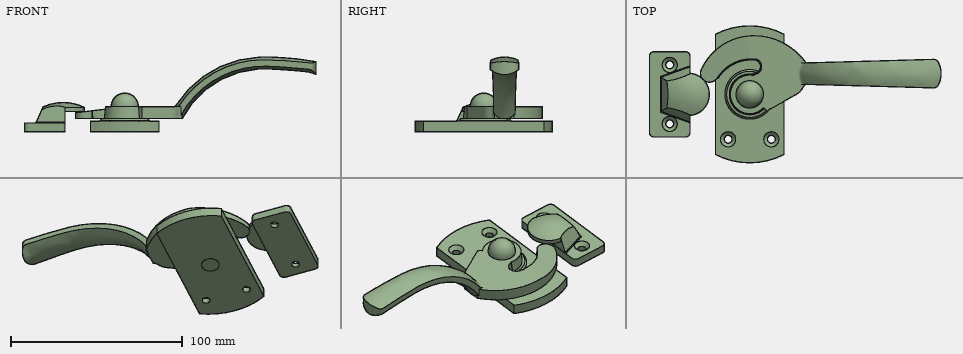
import cadquery as cq
import math


SCREW_HOLE_D = 4.5
SCREW_HEAD_D = 8.8
SCREW_HEAD_ANGLE = 90

BASE_WIDTH = 40.1
BASE_LENGTH = 79.8
BASE_END_RISE = 5.0
BASE_T = 6.3
BASE_SCREWS = [(-12.5, -26.2), (12.5, -26.2)]

WASHER_BOTTOM_R = 14.5
WASHER_T = 1.4
WASHER_CHAMFER = 1.0

SHANK_R = 5.1
RIVET_HEAD_R = 8.0

LEVER_T = 7.0
LEVER_BOTTOM = BASE_T + WASHER_T
LEVER_TOP = LEVER_BOTTOM + LEVER_T
ARC_X = 2.4
CROWN_Y = 34.1
SHOULDER_R = 37.2
HOOK_OUTER_R = 33.6
HOOK_TIP_R = 5.3
HOOK_TIP_X = -23.5
HOOK_MID_ANGLE = 120
HOOK_TIP_MID_ANGLE = 230
SLOT_CENTER_X = 0.8
SLOT_CENTER_Y = -2.7
SLOT_OUTER_R = 23.5
SLOT_END_R = 4.6
SLOT_DRAFT = 6
HUB_TOP_R = 11.2
HUB_BOTTOM_R = 11.9
WALL_FOOT = (10.0, -9.7)
EDGE_END = (26.0, -0.7)
NECK_MID = (29.0, 1.4)
NECK_END = (31.1, 4.0)
ROOT_X = 33.3
ROOT_START_Y = 6.1
RAMP_START_X = 0.7
RAMP_BLEND_R = 12.7
RAMP_ANGLE = 6.9

HANDLE_Y = 12.0
SPINE_TOP_X = 81.0
SPINE_TOP_Z = 40.1
SPINE_R_INNER = 57.0
SPINE_R_OUTER = 149.5
SPINE_START_ANGLE = 68
SPINE_END_ANGLE = 12
INNER_SECTIONS = 6
OUTER_SECTIONS = 2
HANDLE_SIDE_T = 3.7
HANDLE_CROWN = 1.7
HANDLE_WIDTH_AT_TOP = 15.3
HANDLE_WIDENING = 0.057
HANDLE_END_X = 111.5
HANDLE_END_R = 14.3
HANDLE_CORNER_R = 3.4
HANDLE_ROOT_FILLET = 1.7

KEEPER_X = -46.5
KEEPER_WIDTH = 23.8
KEEPER_LENGTH = 49.8
KEEPER_T = 5.3
KEEPER_CORNER_R = 2.7
KEEPER_SCREW_Y = 17.2

BLOCK_FRONT_X = KEEPER_X + KEEPER_WIDTH / 2
BLOCK_BACK_X = -51.5
BLOCK_BACK_HALF_WIDTH = 10.0
BLOCK_SIDE_SLOPE = 0.36
BLOCK_TAPER = 24
FOOT_FLARE = 0.5
FOOT_TAPER = 45
DOME_X = -35.8
DOME_R = 12.4
DOME_TOP = 17.2
DOME_SPHERE_R = 27.5
CATCH_BOTTOM = 11.7


def between(start, end, radius):
    """Point at distance `radius` from start, in the direction of end."""
    scale = radius / math.dist(start, end)
    return (start[0] + (end[0] - start[0]) * scale, start[1] + (end[1] - start[1]) * scale)


def on_circle(center, radius, degrees):
    angle = math.radians(degrees)
    return (center[0] + radius * math.cos(angle), center[1] + radius * math.sin(angle))


def cylinder(radius, bottom, top):
    return cq.Workplane("XY").workplane(offset=bottom).circle(radius).extrude(top - bottom)


def drill_screw_holes(plate, thickness, places):
    return (
        plate.faces(">Z")
        .workplane(origin=(0, 0, thickness))
        .pushPoints(places)
        .cskHole(SCREW_HOLE_D, SCREW_HEAD_D, SCREW_HEAD_ANGLE)
    )


def make_base_plate():
    half_width = BASE_WIDTH / 2
    end = BASE_LENGTH / 2
    corner = end - BASE_END_RISE
    plate = (
        cq.Workplane("XY")
        .moveTo(-half_width, -corner)
        .threePointArc((0, -end), (half_width, -corner))
        .lineTo(half_width, corner)
        .threePointArc((0, end), (-half_width, corner))
        .close()
        .extrude(BASE_T)
    )
    return drill_screw_holes(plate, BASE_T, BASE_SCREWS).cut(cylinder(SHANK_R, 0, BASE_T))


def make_washer():
    disc = cylinder(WASHER_BOTTOM_R, BASE_T, LEVER_BOTTOM)
    return disc.faces(">Z").chamfer(WASHER_CHAMFER).cut(cylinder(SHANK_R, BASE_T, LEVER_BOTTOM))


def make_rivet():
    head = cq.Workplane("XY").sphere(RIVET_HEAD_R).translate((0, 0, LEVER_TOP))
    head = head.intersect(cylinder(RIVET_HEAD_R, LEVER_TOP, LEVER_TOP + RIVET_HEAD_R))
    return cylinder(SHANK_R, 0, LEVER_TOP).union(head)


def make_lever_plate():
    shoulder_center = (ARC_X, CROWN_Y - SHOULDER_R)
    hook_center = (ARC_X, CROWN_Y - HOOK_OUTER_R)
    slot_center = (SLOT_CENTER_X, SLOT_CENTER_Y)
    tip_drop = HOOK_OUTER_R - HOOK_TIP_R
    tip_y = hook_center[1] + math.sqrt(tip_drop**2 - (HOOK_TIP_X - ARC_X) ** 2)
    tip_center = (HOOK_TIP_X, tip_y)
    tip_start = between(hook_center, tip_center, HOOK_OUTER_R)
    tip_end = between(tip_center, slot_center, HOOK_TIP_R)
    shoulder_angle = math.degrees(math.acos((ROOT_X - ARC_X) / SHOULDER_R))
    shoulder = on_circle(shoulder_center, SHOULDER_R, shoulder_angle)

    plate = (
        cq.Workplane("XY")
        .workplane(offset=LEVER_BOTTOM)
        .moveTo(*shoulder)
        .threePointArc(
            on_circle(shoulder_center, SHOULDER_R, (shoulder_angle + 90) / 2), (ARC_X, CROWN_Y)
        )
        .threePointArc(on_circle(hook_center, HOOK_OUTER_R, HOOK_MID_ANGLE), tip_start)
        .threePointArc(on_circle(tip_center, HOOK_TIP_R, HOOK_TIP_MID_ANGLE), tip_end)
        .lineTo(0, 0)
        .lineTo(*WALL_FOOT)
        .lineTo(*EDGE_END)
        .threePointArc(NECK_MID, NECK_END)
        .tangentArcPoint((ROOT_X, ROOT_START_Y), relative=False)
        .close()
        .extrude(LEVER_T)
    )
    return plate.cut(make_slot_cutter(slot_center)).cut(make_ramp_cutter())


def make_slot_cutter(slot_center):
    """Slot between hook and hub, wider at the top because its walls are drafted."""
    slot_top = slot_center[1] + SLOT_OUTER_R
    return (
        cq.Workplane("XY")
        .workplane(offset=LEVER_TOP)
        .moveTo(*on_circle(slot_center, SLOT_OUTER_R, 180))
        .threePointArc(on_circle(slot_center, SLOT_OUTER_R, 135), (slot_center[0], slot_top))
        .lineTo(ARC_X, slot_top)
        .threePointArc(
            (ARC_X + SLOT_END_R, slot_top - SLOT_END_R), (ARC_X, slot_top - 2 * SLOT_END_R)
        )
        .lineTo(ARC_X, slot_center[1])
        .close()
        .extrude(-LEVER_T, taper=SLOT_DRAFT)
    )


def make_ramp_cutter():
    """Wedge above the hook, which thins the hook towards its tip."""
    blend_center = (RAMP_START_X, LEVER_TOP - RAMP_BLEND_R)
    blend_end = on_circle(blend_center, RAMP_BLEND_R, 90 + RAMP_ANGLE)
    far_x = HOOK_TIP_X - 2 * HOOK_TIP_R
    far_z = blend_end[1] - (blend_end[0] - far_x) * math.tan(math.radians(RAMP_ANGLE))
    return (
        cq.Workplane("XZ")
        .moveTo(RAMP_START_X, LEVER_TOP)
        .threePointArc(on_circle(blend_center, RAMP_BLEND_R, 90 + RAMP_ANGLE / 2), blend_end)
        .lineTo(far_x, far_z)
        .lineTo(far_x, LEVER_TOP)
        .close()
        .extrude(-2 * CROWN_Y)
    )


def make_hub():
    return (
        cq.Workplane("XZ")
        .moveTo(0, LEVER_BOTTOM)
        .lineTo(HUB_BOTTOM_R, LEVER_BOTTOM)
        .lineTo(HUB_TOP_R, LEVER_TOP)
        .lineTo(0, LEVER_TOP)
        .close()
        .revolve()
    )


def handle_section(radius, degrees):
    """Cross-section of the handle, `degrees` along a spine arc from its top point."""
    angle = math.radians(degrees)
    x = SPINE_TOP_X + radius * math.sin(angle)
    z = SPINE_TOP_Z - radius * (1 - math.cos(angle))
    half_width = (HANDLE_WIDTH_AT_TOP + HANDLE_WIDENING * (x - SPINE_TOP_X)) / 2
    side = HANDLE_SIDE_T / 2
    crown = side + HANDLE_CROWN
    plane = cq.Plane(
        origin=(x, HANDLE_Y, z), xDir=(0, 1, 0), normal=(math.cos(angle), 0, -math.sin(angle))
    )
    return (
        cq.Workplane(plane)
        .moveTo(-half_width, -side)
        .threePointArc((0, -crown), (half_width, -side))
        .lineTo(half_width, side)
        .threePointArc((0, crown), (-half_width, side))
        .close()
        .wires()
        .val()
    )


def make_handle():
    inner_step = SPINE_START_ANGLE / INNER_SECTIONS
    outer_step = SPINE_END_ANGLE / OUTER_SECTIONS
    sections = [
        handle_section(SPINE_R_INNER, (count - INNER_SECTIONS) * inner_step)
        for count in range(INNER_SECTIONS)
    ]
    sections += [
        handle_section(SPINE_R_OUTER, count * outer_step) for count in range(OUTER_SECTIONS + 1)
    ]
    bar = cq.Workplane(cq.Solid.makeLoft(sections))

    end_center_x = HANDLE_END_X - HANDLE_END_R
    clear_height = SPINE_TOP_Z * 2
    envelope = (
        cq.Workplane("XY")
        .workplane(offset=LEVER_BOTTOM)
        .moveTo(0, HANDLE_Y - HANDLE_END_R)
        .lineTo(end_center_x, HANDLE_Y - HANDLE_END_R)
        .threePointArc((HANDLE_END_X, HANDLE_Y), (end_center_x, HANDLE_Y + HANDLE_END_R))
        .lineTo(0, HANDLE_Y + HANDLE_END_R)
        .close()
        .extrude(clear_height)
    )
    bar = bar.intersect(envelope)
    return bar.edges(end_corner(-1) + end_corner(1)).fillet(HANDLE_CORNER_R)


def end_corner(side):
    """Selector for the upright edge at one corner of the free end; side is -1 or 1 along Y."""
    corner_y = HANDLE_Y + side * HANDLE_WIDTH_AT_TOP / 2
    reach = HANDLE_CORNER_R / 2
    return cq.selectors.BoxSelector(
        (HANDLE_END_X - 2 * HANDLE_CORNER_R, corner_y - reach, SPINE_TOP_Z - HANDLE_END_R),
        (HANDLE_END_X, corner_y + reach, SPINE_TOP_Z),
    )


def root_edge():
    """Selector for the edge where the crown of the handle rises from the lever plate."""
    margin = HANDLE_ROOT_FILLET
    return cq.selectors.BoxSelector(
        (EDGE_END[0], HANDLE_Y - margin, LEVER_TOP - margin),
        (ROOT_X - margin, HANDLE_Y + margin, LEVER_TOP + margin),
    )


def make_lever():
    lever = make_lever_plate().union(make_hub()).union(make_handle())
    lever = lever.edges(root_edge()).fillet(HANDLE_ROOT_FILLET)
    return lever.cut(cylinder(SHANK_R, LEVER_BOTTOM, LEVER_TOP))


def make_keeper_plate():
    plate = (
        cq.Workplane("XY")
        .center(KEEPER_X, 0)
        .rect(KEEPER_WIDTH, KEEPER_LENGTH)
        .extrude(KEEPER_T)
        .edges("|Z")
        .fillet(KEEPER_CORNER_R)
    )
    places = [(KEEPER_X, -KEEPER_SCREW_Y), (KEEPER_X, KEEPER_SCREW_Y)]
    return drill_screw_holes(plate, KEEPER_T, places)


def tapered_block(bottom, flare, height, taper):
    """Trapezoid in plan, grown by `flare` on the back and sides, running past the block front."""
    back_x = BLOCK_BACK_X - flare
    far_x = DOME_X + DOME_R
    side_growth = flare * math.hypot(1, BLOCK_SIDE_SLOPE)
    back_y = BLOCK_BACK_HALF_WIDTH + side_growth - flare * BLOCK_SIDE_SLOPE
    far_y = back_y + BLOCK_SIDE_SLOPE * (far_x - back_x)
    return (
        cq.Workplane("XY")
        .workplane(offset=bottom)
        .polyline([(back_x, -back_y), (far_x, -far_y), (far_x, far_y), (back_x, back_y)])
        .close()
        .extrude(height, taper=taper)
    )


def make_keeper_block():
    foot_top = KEEPER_T + FOOT_FLARE
    foot = tapered_block(KEEPER_T, FOOT_FLARE, FOOT_FLARE, FOOT_TAPER)
    body = tapered_block(foot_top, 0, DOME_TOP - foot_top, BLOCK_TAPER)
    beyond_front = (
        cq.Workplane("XY")
        .box(KEEPER_LENGTH, KEEPER_LENGTH, DOME_TOP, centered=(False, True, False))
        .translate((BLOCK_FRONT_X, 0, 0))
    )
    catch = cylinder(DOME_R, CATCH_BOTTOM, DOME_TOP).translate((DOME_X, 0, 0)).intersect(beyond_front)
    dome = cq.Workplane("XY").sphere(DOME_SPHERE_R).translate((DOME_X, 0, DOME_TOP - DOME_SPHERE_R))
    return foot.union(body).cut(beyond_front).union(catch).intersect(dome)


base_plate = make_base_plate()
washer = make_washer()
lever = make_lever()
rivet = make_rivet()
keeper_plate = make_keeper_plate()
keeper_block = make_keeper_block()

result = cq.Compound.makeCompound(
    [
        base_plate.val(),
        washer.val(),
        lever.val(),
        rivet.val(),
        keeper_plate.val(),
        keeper_block.val(),
    ]
)